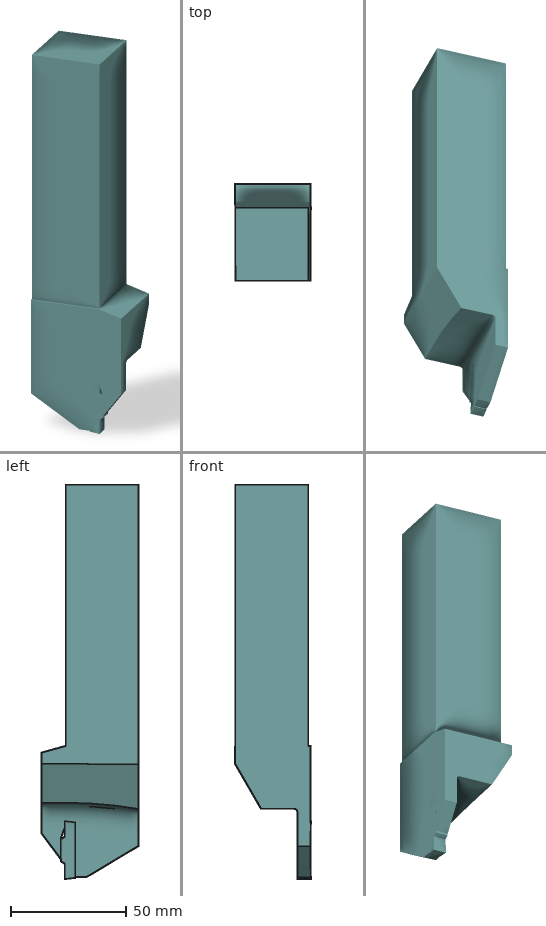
import cadquery as cq
import math

total_height = 171.4
shank_side = 31.7

head_right = 32.7
head_back = 42.2
shoulder_z = 58.0
shoulder_back_z = 55.0
flare = 0.2
chamfer_top_z = 49.9
chamfer_angle = 60.0

blade_left = 26.9
ledge_z = 33.2
ledge_front_z = 30.5
ledge_fillet = 1.4
blade_bottom_z = 0.9
blade_front_z = 14.4
blade_front_toe_y = 22.6
blade_back_toe_y = 28.0
blade_back_z = 19.9

insert_length = 25.2
insert_left = 27.0
insert_front = 27.5
insert_back = 32.0
insert_crown = 33.8
end_relief = 0.5
end_land = 6.7
crown_start = 7.7
pocket_gap_start = 2.9
corner_depth = 3.6
corner_length = 5.3
corner_peak = 0.2
peak_scale = 0.05
margin = 1.7


def prism_along_x(points, x_start, x_end):
    """Extrude a closed (Y, Z) outline from x_start to x_end."""
    return cq.Workplane("YZ", origin=(x_start, 0, 0)).polyline(points).close().extrude(x_end - x_start)


def make_ledge_cutter():
    """Space beside the blade; its curved top leaves the underside of the head."""
    drop = ledge_z - ledge_front_z
    radius = (shank_side**2 + drop**2) / (2 * drop)
    half_angle = math.asin(shank_side / radius) / 2
    middle = (
        shank_side - radius * math.sin(half_angle),
        ledge_z - radius * (1 - math.cos(half_angle)),
    )
    cutter = (
        cq.Workplane("YZ", origin=(-margin, 0, 0))
        .moveTo(0, -margin)
        .lineTo(0, ledge_front_z)
        .threePointArc(middle, (shank_side, ledge_z))
        .lineTo(head_back, ledge_z)
        .lineTo(head_back, -margin)
        .close()
        .extrude(blade_left + margin)
    )
    ledge_zone = cq.selectors.BoxSelector(
        (0, -margin, ledge_front_z - margin),
        (head_right, head_back + margin, ledge_z + margin),
    )
    return cutter.faces(">X").edges(ledge_zone).fillet(ledge_fillet)


def make_left_chamfer_cutter():
    """Wedge that slopes the left face in toward the blade."""
    slope = math.tan(math.radians(chamfer_angle))
    top = (-margin, chamfer_top_z + margin * slope)
    bottom = (blade_left, chamfer_top_z - blade_left * slope)
    return (
        cq.Workplane("XZ")
        .polyline([top, bottom, (-margin, bottom[1])])
        .close()
        .extrude(-head_back)
    )


def insert_outline(low_end):
    """Symmetric (Y, Z) outline; low_end is where the rise to the crown starts."""
    return [
        (insert_front, end_relief),
        (insert_back, 0),
        (insert_back, low_end),
        (insert_crown, crown_start),
        (insert_crown, insert_length - crown_start),
        (insert_back, insert_length - low_end),
        (insert_back, insert_length),
        (insert_front, insert_length - end_relief),
    ]


def make_holder():
    shank_left_back = -flare * shank_side / head_back
    shank_plan = [
        (0, 0),
        (shank_side, 0),
        (shank_side, shank_side),
        (shank_left_back, shank_side),
    ]
    shank = (
        cq.Workplane("XY", origin=(0, 0, ledge_z))
        .polyline(shank_plan)
        .close()
        .extrude(total_height - ledge_z)
    )
    side_outline = [
        (0, blade_front_z),
        (blade_front_toe_y, blade_bottom_z),
        (blade_back_toe_y, blade_bottom_z),
        (head_back, blade_back_z),
        (head_back, shoulder_back_z),
        (shank_side, shoulder_z),
        (0, shoulder_z),
    ]
    head_plan = [
        (0, 0),
        (head_right, 0),
        (head_right, head_back),
        (-flare, head_back),
    ]
    head = prism_along_x(side_outline, -flare, head_right)
    head = head.intersect(cq.Workplane("XY").polyline(head_plan).close().extrude(shoulder_z))
    pocket = prism_along_x(insert_outline(pocket_gap_start), blade_left - margin, head_right + margin)
    return (
        shank.union(head)
        .cut(make_left_chamfer_cutter())
        .cut(make_ledge_cutter())
        .cut(pocket)
        .solids()
    )


def make_flared_corner(x_face, outward, z_corner):
    """Low elliptical cone around a cutting corner, rising from one side of the insert."""
    return (
        cq.Workplane("YZ", origin=(x_face, insert_back, z_corner))
        .ellipse(corner_depth, corner_length)
        .workplane(offset=outward * corner_peak)
        .ellipse(corner_depth * peak_scale, corner_length * peak_scale)
        .loft()
    )


def make_insert():
    outline = insert_outline(end_land)
    insert = prism_along_x(outline, insert_left, head_right)
    limits = prism_along_x(outline, insert_left - corner_peak, head_right + corner_peak)
    for z_corner in (0, insert_length):
        for x_face, outward in ((insert_left, -1), (head_right, 1)):
            corner = make_flared_corner(x_face, outward, z_corner)
            insert = insert.union(corner.intersect(limits))
    return insert.solids()


holder = make_holder()
insert = make_insert()

result = cq.Compound.makeCompound([holder.val(), insert.val()])